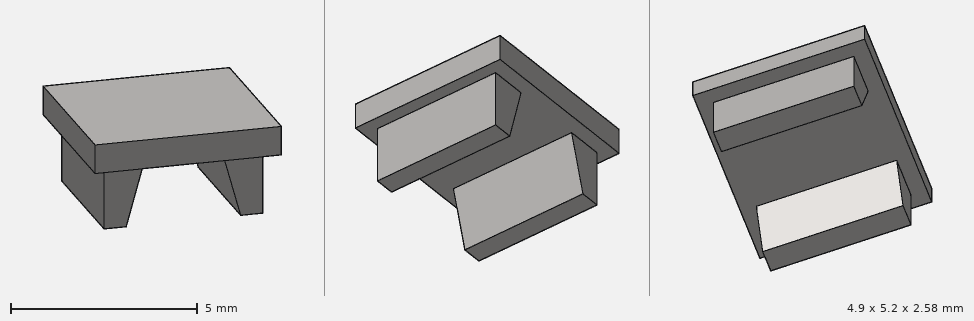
import cadquery as cq

plate_width = 4.9
plate_depth = 5.2
plate_thickness = 0.81

total_height = 2.58
leg_height = total_height - plate_thickness
leg_length = 4.0
legs_outer_span = 4.43
leg_root_thickness = 1.115
leg_tip_thickness = 0.62


def make_leg():
    """Leg on the +Y side: vertical outer face, sloped inner face."""
    outer_y = legs_outer_span / 2
    profile = [
        (outer_y, 0),
        (outer_y, -leg_height),
        (outer_y - leg_tip_thickness, -leg_height),
        (outer_y - leg_root_thickness, 0),
    ]
    return cq.Workplane("YZ").polyline(profile).close().extrude(leg_length / 2, both=True)


plate = cq.Workplane("XY").box(
    plate_width, plate_depth, plate_thickness, centered=(True, True, False)
)
leg = make_leg()
result = plate.union(leg).union(leg.mirror("XZ"))